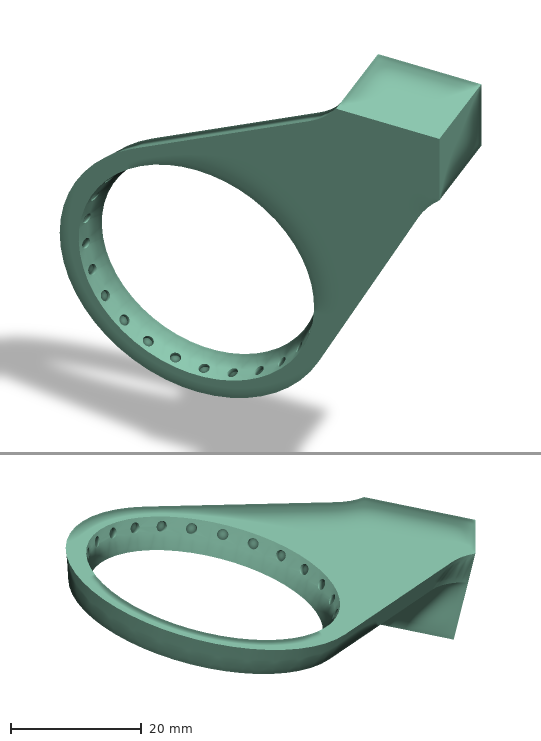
import cadquery as cq
import math

overall_width = 64.3
overall_height = 63.0

plate_thickness = 5.0
ring_radius = 23.15
bore_radius = 19.95
taper_inset = 1.55

block_width = 17.5
block_height = 11.95
block_depth = 15.0
block_right = overall_width - ring_radius
block_top = overall_height - ring_radius
block_left = block_right - block_width
block_bottom = block_top - block_height

upper_edge_angle = 27.3
lower_edge_angle = 63.4
front_blend_length = 5.7
back_blend_length = 7.2

pin_hole_count = 25
pin_hole_diameter = 1.75
pin_hole_depth = 0.8
pin_hole_y = 1.5
first_pin_hole_angle = -1.8


def arm_edge(radius, edge_angle, side, corner, blend_length):
    """Return ring tangent point, blend start, blend middle; side is +1 above the arm, -1 below it."""
    slope = math.radians(edge_angle)
    along = (math.cos(slope), math.sin(slope))
    outward = (-side * along[1], side * along[0])

    def edge_point(distance, height):
        return tuple(distance * a + (radius + height) * n for a, n in zip(along, outward))

    corner_distance = corner[0] * along[0] + corner[1] * along[1]
    corner_height = corner[0] * outward[0] + corner[1] * outward[1] - radius
    blend_start = corner_distance - blend_length
    blend_radius = (blend_length**2 + corner_height**2) / (2 * corner_height)
    half_turn = math.atan2(corner_height, blend_length)
    blend_middle = edge_point(
        blend_start + blend_radius * math.sin(half_turn),
        blend_radius * (1 - math.cos(half_turn)),
    )
    return edge_point(0, 0), edge_point(blend_start, 0), blend_middle


def plate_outline(y, radius, blend_length):
    """Closed outline of the ring and its arm in the plane at the given y."""
    upper_corner = (block_left, block_top)
    lower_corner = (block_right, block_bottom)
    upper_tangent, upper_start, upper_middle = arm_edge(
        radius, upper_edge_angle, 1, upper_corner, blend_length)
    lower_tangent, lower_start, lower_middle = arm_edge(
        radius, lower_edge_angle, -1, lower_corner, blend_length)
    far_angle = math.radians((upper_edge_angle + lower_edge_angle) / 2 + 180)
    ring_far_point = (radius * math.cos(far_angle), radius * math.sin(far_angle))

    def at(point):
        return cq.Vector(point[0], y, point[1])

    def line(start, end):
        return cq.Edge.makeLine(at(start), at(end))

    def arc(start, middle, end):
        return cq.Edge.makeThreePointArc(at(start), at(middle), at(end))

    block_corner = (block_right, block_top)
    return cq.Wire.assembleEdges([
        line(upper_tangent, upper_start),
        arc(upper_start, upper_middle, upper_corner),
        line(upper_corner, block_corner),
        line(block_corner, lower_corner),
        arc(lower_corner, lower_middle, lower_start),
        line(lower_start, lower_tangent),
        arc(lower_tangent, ring_far_point, upper_tangent),
    ])


front_outline = plate_outline(0, ring_radius, front_blend_length)
back_outline = plate_outline(plate_thickness, ring_radius - taper_inset, back_blend_length)
plate = cq.Workplane(obj=cq.Solid.makeLoft([front_outline, back_outline], True))

block = cq.Workplane().box(block_width, block_depth, block_height, centered=False)
block = block.translate((block_left, 0, block_bottom))

axis_direction = cq.Vector(0, 1, 0)
bore = cq.Solid.makeCone(
    bore_radius, bore_radius - taper_inset, plate_thickness, cq.Vector(0, 0, 0), axis_direction)

result = plate.union(block).cut(cq.Workplane(obj=bore))

wall_tilt = math.atan2(taper_inset, plate_thickness)
wall_radius = bore_radius - taper_inset * pin_hole_y / plate_thickness
for index in range(pin_hole_count):
    angle = math.radians(first_pin_hole_angle + index * 360 / pin_hole_count)
    radial = cq.Vector(math.cos(angle), 0, math.sin(angle))
    direction = radial * math.cos(wall_tilt) + axis_direction * math.sin(wall_tilt)
    wall_point = radial * wall_radius + axis_direction * pin_hole_y
    hole_start = wall_point - direction * pin_hole_depth
    hole = cq.Solid.makeCylinder(pin_hole_diameter / 2, 2 * pin_hole_depth, hole_start, direction)
    result = result.cut(cq.Workplane(obj=hole))